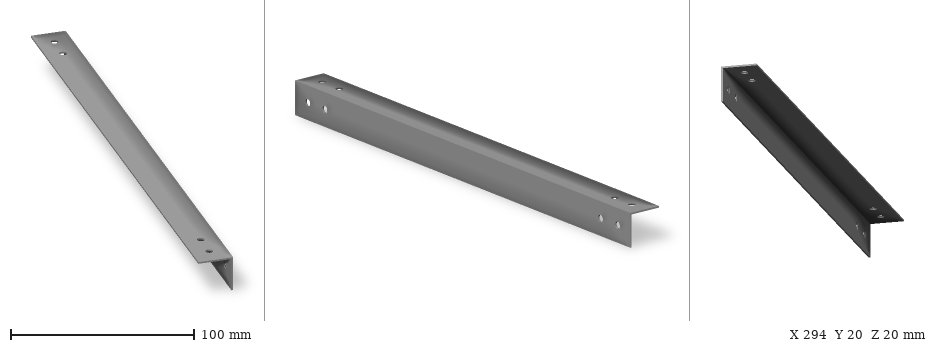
import cadquery as cq

length = 294.0
leg = 20.0
thickness = 1.0

hole_diameter = 4.0
end_distance = 11.2
hole_pitch = 15.0
hole_line = leg / 2

outer_hole_x = length / 2 - end_distance
inner_hole_x = outer_hole_x - hole_pitch
hole_xs = [-outer_hole_x, -inner_hole_x, inner_hole_x, outer_hole_x]


def angle_strip():
    """Top leg and back leg meeting along the upper back edge."""
    corner_start = (-length / 2, 0, 0)
    block = cq.Workplane("XY").box(length, leg, leg, centered=False).translate(corner_start)
    open_space = (
        cq.Workplane("XY")
        .box(length, leg - thickness, leg - thickness, centered=False)
        .translate(corner_start)
    )
    return block.cut(open_space)


def hole_cutters(plane, depth):
    """Row of hole cylinders normal to the given plane."""
    centers = [(x, hole_line) for x in hole_xs]
    return cq.Workplane(plane).pushPoints(centers).circle(hole_diameter / 2).extrude(depth)


top_leg_holes = hole_cutters("XY", leg)
back_leg_holes = hole_cutters("XZ", -leg)

result = angle_strip().cut(top_leg_holes).cut(back_leg_holes)